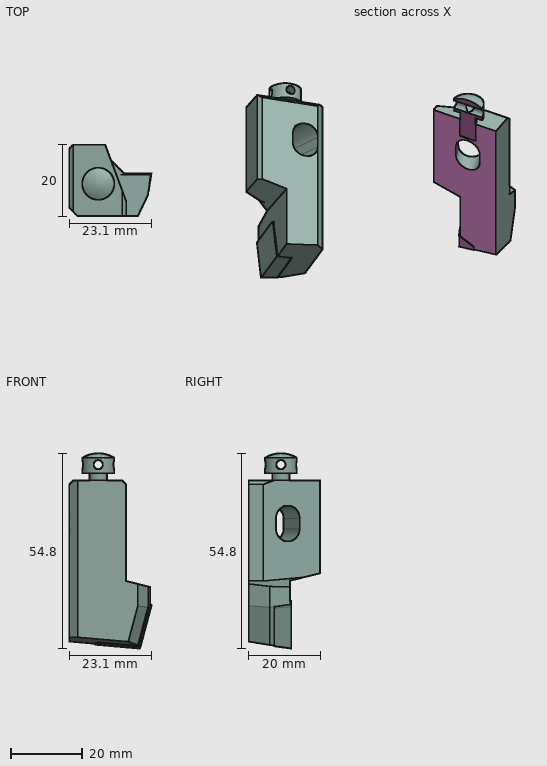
import cadquery as cq
import math

shank_width = 16.0
shank_depth = 20.0
shank_top = 47.1
front_left_chamfer = 2.35
back_left_chamfer = 1.1
top_chamfer = 1.1
slant_start_y = 4.1
slant_back_x = 10.1

head_front_x = 19.25
head_break_x = 22.1
head_break_y = 5.9
head_back_x = 22.75
seat_face_y = 11.6
shoulder_slope = math.tan(math.radians(14))
shoulder_z = 18.95
overhang_z = 19.0
bottom_z = 3.4
lead_angle = 5.0
clearance_angle = 7.0
flank_angle = 15.0
flank_top_z = 12.05
flank_break_x = 22.2
flank_back_x = 22.75

insert_side = 12.8
insert_thickness = 4.75
insert_face_y = 11.95
insert_corner_radius = 0.4
insert_nose_x = 19.85
insert_nose_z = -0.03

slot_width = 7.0
slot_height = 10.0
slot_entry_y = 6.0
slot_z = 35.05

screw_x = 8.15
screw_y = 9.05
shank_diameter = 4.9
head_diameter = 9.0
screw_end_z = 41.05
head_bottom_z = 49.1
head_rim_z = 53.4
screw_top_z = 54.75
cross_hole_diameter = 2.5
cross_hole_z = 51.5

margin = 5.5


def prism(plan, bottom, top):
    return cq.Workplane("XY", origin=(0, 0, bottom)).polyline(plan).close().extrude(top - bottom)


def make_shank():
    plan = [
        (front_left_chamfer, 0),
        (shank_width, 0),
        (shank_width, slant_start_y),
        (slant_back_x, shank_depth),
        (back_left_chamfer, shank_depth),
        (0, shank_depth - back_left_chamfer),
        (0, front_left_chamfer),
    ]
    top_profile = [
        (0, -margin),
        (shank_width, -margin),
        (shank_width, shank_top - top_chamfer),
        (shank_width - top_chamfer, shank_top),
        (top_chamfer, shank_top),
        (0, shank_top - top_chamfer),
    ]
    envelope = cq.Workplane("XZ").polyline(top_profile).close().extrude(-shank_depth)
    return prism(plan, -margin, shank_top).intersect(envelope)


def make_head():
    inner_x = slant_back_x / 2
    plan = [
        (inner_x, 0),
        (head_front_x, 0),
        (head_break_x, head_break_y),
        (head_back_x, seat_face_y),
        (slant_back_x, shank_depth),
        (inner_x, shank_depth),
    ]

    def shoulder_height(x):
        return shoulder_z - (x - shank_width) * shoulder_slope

    below_shoulder = [
        (inner_x, -margin),
        (head_back_x, -margin),
        (head_back_x, shoulder_height(head_back_x)),
        (inner_x, shoulder_height(inner_x)),
    ]
    envelope = cq.Workplane("XZ").polyline(below_shoulder).close().extrude(-shank_depth)
    return prism(plan, -margin, shank_top).intersect(envelope)


def make_overhang_cut():
    outer_y = shank_depth + margin
    profile = [
        (seat_face_y, -margin),
        (outer_y, -margin),
        (outer_y, overhang_z + (outer_y - seat_face_y) * shoulder_slope),
        (seat_face_y, overhang_z),
    ]
    return cq.Workplane("YZ", origin=(-margin, 0, 0)).polyline(profile).close().extrude(shank_depth * 2)


def make_bottom_cut():
    def bottom_corner(x, y):
        x_drop = x * math.tan(math.radians(lead_angle))
        y_drop = y * math.tan(math.radians(clearance_angle))
        return (x, y, bottom_z - x_drop - y_drop)

    left, right = -margin, head_back_x + margin
    front, back = -margin, shank_depth + margin
    corners = [(left, front), (right, front), (right, back), (left, back)]
    upper = [cq.Vector(*bottom_corner(x, y)) for x, y in corners]
    face = cq.Face.makeFromWires(cq.Wire.makePolygon(upper, close=True))
    depth = cq.Vector(0, 0, -2 * margin)
    return cq.Workplane(cq.Solid.extrudeLinear(face, depth))


def make_flank_cut():
    outer_x = head_back_x + margin
    outline = [
        (head_front_x, 0),
        (flank_break_x, head_break_y),
        (flank_back_x, seat_face_y),
        (outer_x, seat_face_y),
        (outer_x, 0),
    ]
    lean = math.tan(math.radians(flank_angle))
    points = [cq.Vector(x + margin * lean, y, flank_top_z + margin) for x, y in outline]
    face = cq.Face.makeFromWires(cq.Wire.makePolygon(points, close=True))
    drop = flank_top_z + 2 * margin
    return cq.Workplane(cq.Solid.extrudeLinear(face, cq.Vector(-lean * drop, 0, -drop)))


def make_slot():
    slot_turn = math.degrees(math.atan2(shank_width - slant_back_x, shank_depth - slant_start_y))
    return (
        cq.Workplane("YZ", origin=(-margin, 0, 0))
        .slot2D(slot_height, slot_width, 90)
        .extrude(shank_depth + 2 * margin)
        .rotate((0, 0, 0), (0, 0, 1), slot_turn)
        .translate((0, slot_entry_y, slot_z))
    )


def make_insert():
    lead = math.radians(lead_angle)
    flank = math.radians(flank_angle)
    along_bottom = (-insert_side * math.cos(lead), insert_side * math.sin(lead))
    along_flank = (insert_side * math.sin(flank), insert_side * math.cos(flank))
    return (
        cq.Workplane("XZ", origin=(insert_nose_x, insert_face_y, insert_nose_z))
        .polyline([
            (0, 0),
            along_flank,
            (along_flank[0] + along_bottom[0], along_flank[1] + along_bottom[1]),
            along_bottom,
        ])
        .close()
        .extrude(insert_thickness, taper=clearance_angle)
        .edges("not(#Y)")
        .fillet(insert_corner_radius)
    )


def make_screw():
    head_radius = head_diameter / 2
    shank_radius = shank_diameter / 2
    dome_height = screw_top_z - head_rim_z
    dome_radius = (head_radius**2 + dome_height**2) / (2 * dome_height)
    arc_x = head_radius / 2
    arc_z = screw_top_z - dome_radius + math.sqrt(dome_radius**2 - arc_x**2)
    screw = (
        cq.Workplane("XZ")
        .moveTo(0, screw_end_z)
        .lineTo(shank_radius, screw_end_z)
        .lineTo(shank_radius, head_bottom_z)
        .lineTo(head_radius, head_bottom_z)
        .lineTo(head_radius, head_rim_z)
        .threePointArc((arc_x, arc_z), (0, screw_top_z))
        .close()
        .revolve(360, (0, 0, 0), (0, 1, 0))
    )
    for plane in ("XZ", "YZ"):
        cross_hole = (
            cq.Workplane(plane, origin=(0, 0, cross_hole_z))
            .circle(cross_hole_diameter / 2)
            .extrude(head_diameter, both=True)
        )
        screw = screw.cut(cross_hole)
    return screw.translate((screw_x, screw_y, 0))


def make_holder(insert, screw):
    holder = make_shank().union(make_head())
    for cutter in (make_overhang_cut(), make_bottom_cut(), make_flank_cut(), make_slot()):
        holder = holder.cut(cutter)
    return holder.cut(insert).cut(screw)


insert = make_insert()
screw = make_screw()
holder = make_holder(insert, screw)

result = cq.Compound.makeCompound([body.solids().val() for body in (holder, insert, screw)])